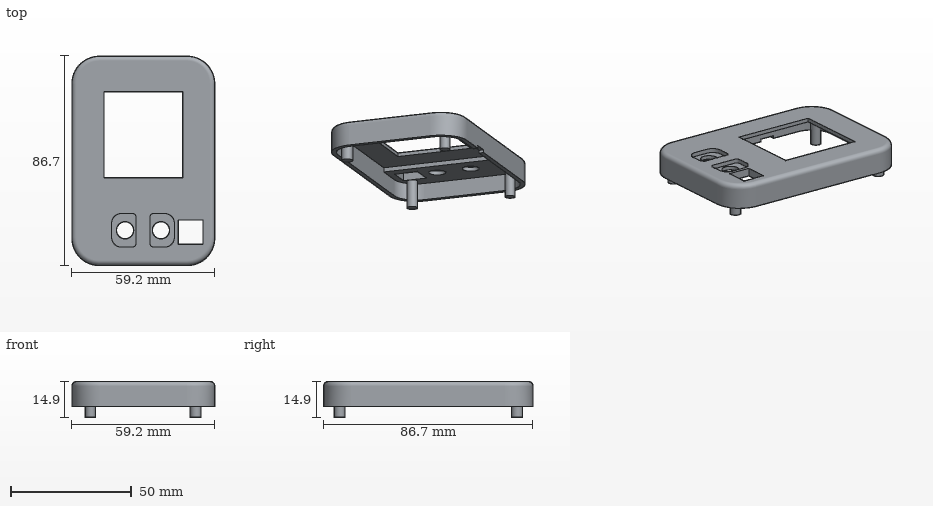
import cadquery as cq

LENGTH_X = 59.2
LENGTH_Y = 86.7
BODY_HEIGHT = 10.38
CORNER_RADIUS = 11.5
EDGE_FILLET = 2.0
WALL = 2.0
PLATE = 1.6

PEG_SPACING_X = 43.5
PEG_SPACING_Y = 73.4
PEG_CENTER_X = -0.15
PEG_DROP = 4.5
PEG_DIAMETERS = {
    (-1, -1): 4.15,
    (-1, 1): 4.27,
    (1, -1): 4.48,
    (1, 1): 4.61,
}

DISPLAY_X = 32.5
DISPLAY_Y = 35.5
DISPLAY_CENTER_Y = 10.85

PAD_THICKNESS = 3.4
PAD_MARGIN = 2.0

BUTTON_HOLE_DIAMETER = 7.0
BUTTON_PITCH = 14.85
BUTTON_PAIR_X = -0.13
BUTTON_Y = -28.7
RECESS_X = 10.1
RECESS_Y = 13.9
RECESS_DEPTH = 1.75
RECESS_OFFSET = 0.5
RECESS_OUTER_RADIUS = 4.0
RECESS_INNER_RADIUS = 1.5

PORT_X = 10.2
PORT_Y = 9.9
PORT_CENTER = (19.55, -29.5)

NOTCH_Y = 6.5
NOTCH_CENTER_Y = 16.0
NOTCH_HEIGHT = 1.15

CAVITY_TOP = BODY_HEIGHT - PLATE
PAD_BOTTOM = BODY_HEIGHT - PAD_THICKNESS
CAVITY_X = LENGTH_X - 2 * WALL
CAVITY_Y = LENGTH_Y - 2 * WALL


def rounded_prism(size_x, size_y, radius, height):
    """Prism standing on Z = 0 with rounded vertical edges."""
    block = cq.Workplane("XY").box(size_x, size_y, height, centered=(True, True, False))
    return block.edges("|Z").fillet(radius)


def make_shell():
    """Open-bottomed case with a rounded top edge and a thick pad at the button end."""
    outer = rounded_prism(LENGTH_X, LENGTH_Y, CORNER_RADIUS, BODY_HEIGHT)
    outer = outer.faces(">Z").edges().fillet(EDGE_FILLET)
    cavity = rounded_prism(CAVITY_X, CAVITY_Y, CORNER_RADIUS - WALL, CAVITY_TOP)
    pad_end_y = BUTTON_Y + RECESS_Y / 2 + PAD_MARGIN
    pad_length = pad_end_y + CAVITY_Y / 2
    pad = (
        cq.Workplane("XY", origin=(0, pad_end_y - pad_length / 2, PAD_BOTTOM))
        .box(CAVITY_X, pad_length, PAD_THICKNESS - PLATE, centered=(True, True, False))
    )
    return outer.cut(cavity.cut(pad))


def make_peg(side_x, side_y, diameter):
    """Round peg rooted in the top plate, in the corner given by the two signs."""
    peg_x = PEG_CENTER_X + side_x * PEG_SPACING_X / 2
    peg_y = side_y * PEG_SPACING_Y / 2
    peg_length = CAVITY_TOP + PEG_DROP
    return cq.Workplane("XY", origin=(peg_x, peg_y, -PEG_DROP)).circle(diameter / 2).extrude(peg_length)


def through_window(size_x, size_y, center):
    """Rectangular cutter that passes through the top plate and pad."""
    return (
        cq.Workplane("XY", origin=(*center, PAD_BOTTOM))
        .box(size_x, size_y, PAD_THICKNESS, centered=(True, True, False))
    )


def button_cutter(side):
    """Recess with a through hole; side is -1 for the left button and +1 for the right."""
    center_x = BUTTON_PAIR_X + side * BUTTON_PITCH / 2
    outward = ">X" if side > 0 else "<X"
    inward = "<X" if side > 0 else ">X"
    recess = (
        cq.Workplane("XY", origin=(center_x + side * RECESS_OFFSET, BUTTON_Y, BODY_HEIGHT - RECESS_DEPTH))
        .box(RECESS_X, RECESS_Y, RECESS_DEPTH, centered=(True, True, False))
    )
    recess = recess.faces(outward).edges("|Z").fillet(RECESS_OUTER_RADIUS)
    recess = recess.faces(inward).edges("|Z").fillet(RECESS_INNER_RADIUS)
    hole = (
        cq.Workplane("XY", origin=(center_x, BUTTON_Y, PAD_BOTTOM))
        .circle(BUTTON_HOLE_DIAMETER / 2)
        .extrude(PAD_THICKNESS)
    )
    return recess.union(hole)


def notch_cutter():
    """Shallow slot through the rim of the -X wall."""
    return (
        cq.Workplane("XY", origin=(-LENGTH_X / 2 + WALL / 2, NOTCH_CENTER_Y, 0))
        .box(WALL, NOTCH_Y, NOTCH_HEIGHT, centered=(True, True, False))
    )


result = make_shell()
for (side_x, side_y), diameter in PEG_DIAMETERS.items():
    result = result.union(make_peg(side_x, side_y, diameter))
result = result.cut(through_window(DISPLAY_X, DISPLAY_Y, (0, DISPLAY_CENTER_Y)))
result = result.cut(through_window(PORT_X, PORT_Y, PORT_CENTER))
for side in (-1, 1):
    result = result.cut(button_cutter(side))
result = result.cut(notch_cutter())